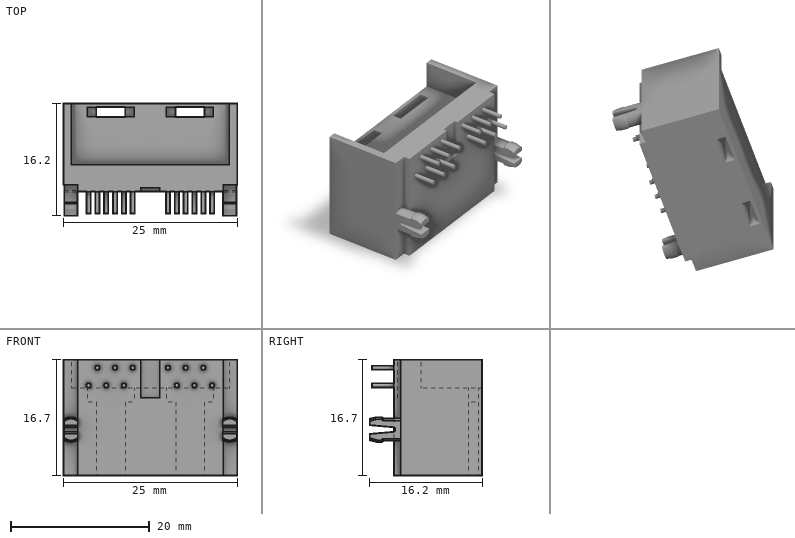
import cadquery as cq


housing_width = 25.02
housing_height = 16.7
housing_depth = 12.7
plinth_width = 20.94
plinth_thickness = 0.97

recess_depth = 4.05
recess_length = 8.84
side_wall = 1.15

window_offset = 5.7
window_length = 6.78
window_width = 1.42
window_through_length = 4.12
window_rear_wall = 0.53
window_step_depth = 2.0

notch_width = 2.74
notch_height = 5.52
notch_depth = 0.53

pin_diameter = 0.64
pin_length = 3.16
pin_embed = 1.0
pin_pitch = 2.54
pins_per_group_row = 3
upper_row_inset = 1.18
upper_row_z = housing_height - upper_row_inset
lower_row_z = upper_row_z - pin_pitch
upper_row_first_x = pin_pitch
lower_row_first_x = 1.5 * pin_pitch

peg_offset = 11.43
peg_z = lower_row_z - 2.5 * pin_pitch
peg_flat_width = 1.96
peg_shaft_radius = 1.625
peg_head_radius = 1.8
peg_tip_radius = 1.55
peg_tip_y = -3.48
peg_head_front_y = -2.48
peg_head_rear_y = -1.74
peg_shaft_end_y = -1.5
peg_embed = 1.0
split_root_half = 0.31
split_tip_half = 0.62
split_root_y = 0.0
split_apex_y = 0.2


def block(x_min, x_max, y_min, y_max, z_min, z_max):
    """Axis-aligned box given by its limits."""
    size = (x_max - x_min, y_max - y_min, z_max - z_min)
    return cq.Workplane("XY").box(*size, centered=False).translate((x_min, y_min, z_min))


def centered_block(center_x, width, y_min, y_max, z_min, z_max):
    """Box centered on a given X position."""
    return block(center_x - width / 2, center_x + width / 2, y_min, y_max, z_min, z_max)


def make_housing():
    """Main block with the narrower plinth on its board side."""
    main = centered_block(0, housing_width, plinth_thickness, housing_depth, 0, housing_height)
    plinth = centered_block(0, plinth_width, 0, plinth_thickness, 0, housing_height)
    return main.union(plinth)


def make_recess():
    """Cutter for the rear-opening recess in the top face."""
    width = housing_width - 2 * side_wall
    floor_z = housing_height - recess_depth
    return centered_block(0, width, housing_depth - recess_length, housing_depth, floor_z, housing_height)


def make_window(center_x):
    """Cutter for a window: wide at the recess floor, narrower through to the bottom."""
    floor_z = housing_height - recess_depth
    y_max = housing_depth - window_rear_wall
    y_min = y_max - window_width
    wide = centered_block(center_x, window_length, y_min, y_max, floor_z - window_step_depth, floor_z)
    narrow = centered_block(center_x, window_through_length, y_min, y_max, 0, floor_z)
    return wide.union(narrow)


def make_notch():
    """Cutter for the key notch, open at the top."""
    return centered_block(0, notch_width, 0, notch_depth, housing_height - notch_height, housing_height)


def make_pin(x, z):
    """Round contact pin along Y."""
    plane = cq.Plane(origin=(x, pin_embed, z), xDir=(1, 0, 0), normal=(0, -1, 0))
    return cq.Workplane(plane).circle(pin_diameter / 2).extrude(pin_length + pin_embed)


def make_peg(center_x):
    """Split snap peg with a flared head."""
    root_y = plinth_thickness + peg_embed
    body = (
        cq.Workplane("XY")
        .moveTo(0, root_y)
        .lineTo(peg_shaft_radius, root_y)
        .lineTo(peg_shaft_radius, peg_shaft_end_y)
        .lineTo(peg_head_radius, peg_head_rear_y)
        .lineTo(peg_head_radius, peg_head_front_y)
        .lineTo(peg_tip_radius, peg_tip_y)
        .lineTo(0, peg_tip_y)
        .close()
        .revolve(360, (0, 0, 0), (0, 1, 0))
    )
    flats = centered_block(0, peg_flat_width, peg_tip_y, root_y, -peg_head_radius, peg_head_radius)
    split = (
        cq.Workplane("YZ")
        .moveTo(peg_tip_y, -split_tip_half)
        .lineTo(split_root_y, -split_root_half)
        .threePointArc((split_apex_y, 0), (split_root_y, split_root_half))
        .lineTo(peg_tip_y, split_tip_half)
        .close()
        .extrude(peg_head_radius, both=True)
    )
    return body.intersect(flats).cut(split).translate((center_x, 0, peg_z))


result = make_housing().cut(make_recess()).cut(make_notch())

for side in (-1, 1):
    result = result.cut(make_window(side * window_offset))
    result = result.union(make_peg(side * peg_offset))
    for index in range(pins_per_group_row):
        step = index * pin_pitch
        result = result.union(make_pin(side * (upper_row_first_x + step), upper_row_z))
        result = result.union(make_pin(side * (lower_row_first_x + step), lower_row_z))